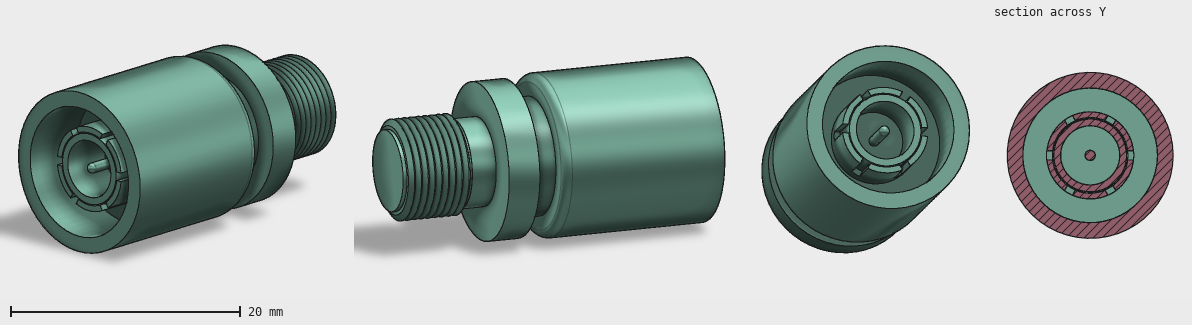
import cadquery as cq
import math


total_length = 28.7
sleeve_length = 15.05
neck_length = 2.2
flange_length = 2.87
thread_pitch = 0.637
thread_count = 9
lead_length = 0.36
first_crest_gap = 0.37
thread_end_gap = 0.34
relief_length = 0.18

sleeve_diameter = 14.48
neck_diameter = 10.5
flange_diameter = 14.0
shank_diameter = 7.9
thread_crest_diameter = 8.94
thread_root_diameter = 7.84
lead_diameter = 7.18
sleeve_rounding = 0.75

bore_diameter = 11.7
bore_depth = 6.0
contact_setback = 1.27
finger_outer_diameter = 7.6
finger_inner_diameter = 6.56
slot_count = 6
slot_width = 0.78
slot_depth = 3.5
tube_outer_diameter = 6.36
tube_inner_diameter = 5.13
pin_diameter = 0.9
pin_setback = 1.22

neck_start = sleeve_length
flange_start = neck_start + neck_length
shank_start = flange_start + flange_length
lead_start = total_length - lead_length
thread_start = lead_start - first_crest_gap - (thread_count - 1) * thread_pitch - thread_end_gap


def cylinder(diameter, start, end):
    """Solid cylinder on the Y axis between two positions."""
    plane = cq.Plane(origin=(0, start, 0), xDir=(1, 0, 0), normal=(0, 1, 0))
    return cq.Workplane(plane).circle(diameter / 2).extrude(end - start)


def tube(outer_diameter, inner_diameter, start, end):
    """Hollow cylinder on the Y axis between two positions."""
    return cylinder(outer_diameter, start, end).cut(cylinder(inner_diameter, start, end))


def make_sleeve():
    """Socket sleeve with its rear edge rounded and its bore cut from the mouth."""
    sleeve = cylinder(sleeve_diameter, 0, sleeve_length).faces(">Y").edges().fillet(sleeve_rounding)
    return sleeve.cut(cylinder(bore_diameter, 0, bore_depth))


def make_threaded_end():
    """V-shaped thread rings between an outer plain collar and an inner relief, as one revolved profile."""
    root = thread_root_diameter / 2
    crest = thread_crest_diameter / 2
    profile = [
        (0, thread_start - relief_length),
        (root, thread_start - relief_length),
        (root, thread_start),
    ]
    for ring in range(thread_count):
        crest_position = thread_start + thread_end_gap + ring * thread_pitch
        profile.append((crest, crest_position))
        if ring < thread_count - 1:
            profile.append((root, crest_position + thread_pitch / 2))
    profile += [
        (root, lead_start),
        (lead_diameter / 2, lead_start),
        (lead_diameter / 2, total_length),
        (0, total_length),
    ]
    return cq.Workplane("XY").polyline(profile).close().revolve(360, (0, 0, 0), (0, 1, 0))


def make_spring_fingers():
    """Outer contact ring, split by evenly spaced radial slots."""
    ring = tube(finger_outer_diameter, finger_inner_diameter, contact_setback, bore_depth)
    for slot in range(slot_count):
        cutter = (
            cq.Workplane("XY")
            .box(finger_outer_diameter, slot_depth, slot_width, centered=(False, False, True))
            .translate((0, contact_setback, 0))
            .rotate((0, 0, 0), (0, 1, 0), slot * 360 / slot_count)
        )
        ring = ring.cut(cutter)
    return ring


def make_pin():
    """Centre pin with a hemispherical tip."""
    radius = pin_diameter / 2
    halfway = radius * math.sqrt(0.5)
    dome_base = pin_setback + radius
    return (
        cq.Workplane("XY")
        .moveTo(0, pin_setback)
        .threePointArc((halfway, dome_base - halfway), (radius, dome_base))
        .lineTo(radius, bore_depth)
        .lineTo(0, bore_depth)
        .close()
        .revolve(360, (0, 0, 0), (0, 1, 0))
    )


result = (
    make_sleeve()
    .union(cylinder(neck_diameter, neck_start, flange_start))
    .union(cylinder(flange_diameter, flange_start, shank_start))
    .union(cylinder(shank_diameter, shank_start, thread_start - relief_length))
    .union(make_threaded_end())
    .union(make_spring_fingers())
    .union(tube(tube_outer_diameter, tube_inner_diameter, contact_setback, bore_depth))
    .union(make_pin())
)